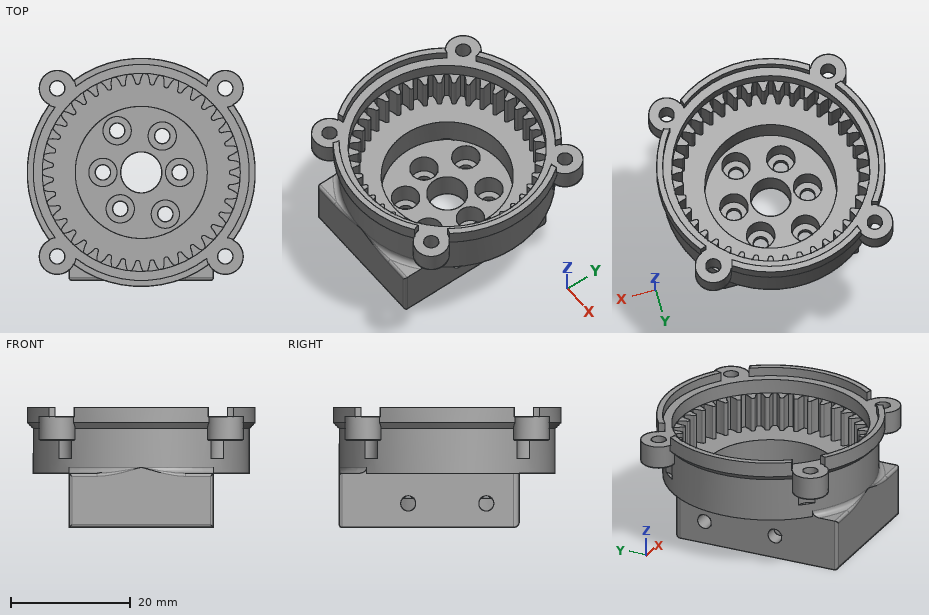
import cadquery as cq
import math


block_height = 9.0
ring_height = 11.0
ring_top = block_height + ring_height
lip_height = 1.52
seat = ring_top - lip_height
rim_height = 2.5
teeth_top = ring_top - 4.0
gear_floor = ring_top - 10.0
carrier_floor = gear_floor - 5.1

rim_diameter = 38.0
body_diameter = 36.0
chamber_diameter = 33.0
gear_root_diameter = 32.87
carrier_diameter = 22.0
shaft_diameter = 6.8
rim_radius = rim_diameter / 2
body_radius = body_diameter / 2
rim_overhang = rim_radius - body_radius

tooth_count = 39
root_radius = gear_root_diameter / 2
tip_radius = 14.65
tip_corner_radius = 14.95
tooth_root_width = 1.98
tooth_middle_width = 1.18
tooth_tip_width = 0.75
tooth_embedding = 0.38

ear_offset = 14.0
ear_diameter = 6.0
ear_gap_diameter = 6.25
ear_height = 4.0
ear_chamfer = 0.2
screw_diameter = 2.5
head_diameter = 4.7
head_pocket_bottom = ring_top - 8.5

screw_pairs = [(0, 6.4), (60, 7.0), (120, 8.0)]
counterbore_depth = 3.95

block_half_width = 12.0
block_front = -body_radius
block_back = block_half_width
front_round = 0.5
back_round = 1.0
flare_radius = rim_overhang

side_hole_offset = 6.5
side_hole_height = 4.0


def cylinder(diameter, bottom, top, x=0.0, y=0.0):
    disc = cq.Workplane("XY", origin=(x, y, bottom)).circle(diameter / 2)
    return disc.extrude(top - bottom)


def make_ring():
    """Solid turned body with the wide rim, without its bores."""
    cone_bottom = ring_top - rim_height - rim_overhang
    return (
        cq.Workplane("XZ")
        .moveTo(0, block_height)
        .lineTo(body_radius, block_height)
        .lineTo(body_radius, cone_bottom)
        .lineTo(rim_radius, cone_bottom + rim_overhang)
        .lineTo(rim_radius, ring_top)
        .lineTo(0, ring_top)
        .close()
        .revolve(360, (0, 0, 0), (0, 1, 0))
    )


def block_prism(height):
    """Plain prism around the block's footprint, with sharp edges."""
    prism = cq.Workplane("XY").center(0, (block_back + block_front) / 2)
    return prism.rect(2 * block_half_width, block_back - block_front).extrude(height)


def make_block():
    """Block with rounded edges, flaring up into the ring."""
    flare_top = block_height + flare_radius
    flare_outer = body_radius + flare_radius
    beyond_corners = 2 * body_radius
    arc_reach = flare_radius * (1 - math.sqrt(0.5))
    flare = (
        cq.Workplane("XZ")
        .lineTo(beyond_corners, 0)
        .lineTo(beyond_corners, block_height)
        .lineTo(flare_outer, block_height)
        .threePointArc((body_radius + arc_reach, block_height + arc_reach), (body_radius, flare_top))
        .lineTo(0, flare_top)
        .close()
        .revolve(360, (0, 0, 0), (0, 1, 0))
    )
    block = block_prism(flare_top).intersect(flare)
    front_top_edges = (
        block.faces("<Y").edges("not |Z")
        .filter(lambda edge: edge.Center().z > block_height / 2)
    )
    block = front_top_edges.fillet(front_round)

    round_corners = (
        block_prism(flare_top)
        .edges("|Z and <Y").fillet(front_round)
        .edges("|Z and >Y").fillet(back_round)
    )
    round_bottom = (
        block_prism(flare_top)
        .edges("<Z and <Y").fillet(front_round)
        .edges("<Z and >Y").fillet(back_round)
    )
    return block.intersect(round_corners).intersect(round_bottom)


def make_tooth():
    """One gear tooth on the +X axis, with hollow flanks and a rounded tip."""
    embedded_radius = root_radius + tooth_embedding
    middle_radius = (root_radius + tip_corner_radius) / 2
    root_y = tooth_root_width / 2
    middle_y = tooth_middle_width / 2
    tip_y = tooth_tip_width / 2
    return (
        cq.Workplane("XY", origin=(0, 0, gear_floor))
        .moveTo(embedded_radius, -root_y)
        .lineTo(root_radius, -root_y)
        .threePointArc((middle_radius, -middle_y), (tip_corner_radius, -tip_y))
        .threePointArc((tip_radius, 0), (tip_corner_radius, tip_y))
        .threePointArc((middle_radius, middle_y), (root_radius, root_y))
        .lineTo(embedded_radius, root_y)
        .close()
        .extrude(teeth_top - gear_floor)
    )


def make_side_holes(y):
    """Pair of holes along X that stop at the round wall of the carrier recess."""
    bar = (
        cq.Workplane("YZ", origin=(-block_half_width, y, side_hole_height))
        .circle(screw_diameter / 2)
        .extrude(2 * block_half_width)
    )
    return bar.cut(cylinder(carrier_diameter, 0, block_height))


ear_centers = [(x * ear_offset, y * ear_offset) for x in (-1, 1) for y in (-1, 1)]

result = make_ring().union(make_block())

result = result.cut(cylinder(body_diameter, seat, ring_top))
for x, y in ear_centers:
    result = result.cut(cylinder(ear_gap_diameter, seat, ring_top, x, y))
    result = result.cut(cylinder(head_diameter, head_pocket_bottom, seat, x, y))
    ear = cylinder(ear_diameter, seat - ear_height, seat, x, y).faces("<Z").chamfer(ear_chamfer)
    result = result.union(ear)

result = result.cut(cylinder(chamber_diameter, teeth_top, seat))
result = result.cut(cylinder(gear_root_diameter, gear_floor, teeth_top))
result = result.cut(cylinder(carrier_diameter, carrier_floor, gear_floor))
result = result.cut(cylinder(shaft_diameter, 0, carrier_floor))

for x, y in ear_centers:
    result = result.cut(cylinder(screw_diameter, seat - ear_height, seat, x, y))

tooth = make_tooth()
teeth = cq.Workplane("XY")
for index in range(tooth_count):
    teeth = teeth.add(tooth.rotate((0, 0, 0), (0, 0, 1), index * 360 / tooth_count))
result = result.union(teeth.combine())

for angle, distance in screw_pairs:
    for turn in (angle, angle + 180):
        x = distance * math.cos(math.radians(turn))
        y = distance * math.sin(math.radians(turn))
        result = result.cut(cylinder(screw_diameter, 0, carrier_floor, x, y))
        result = result.cut(cylinder(head_diameter, carrier_floor - counterbore_depth, carrier_floor, x, y))

for y in (-side_hole_offset, side_hole_offset):
    result = result.cut(make_side_holes(y))